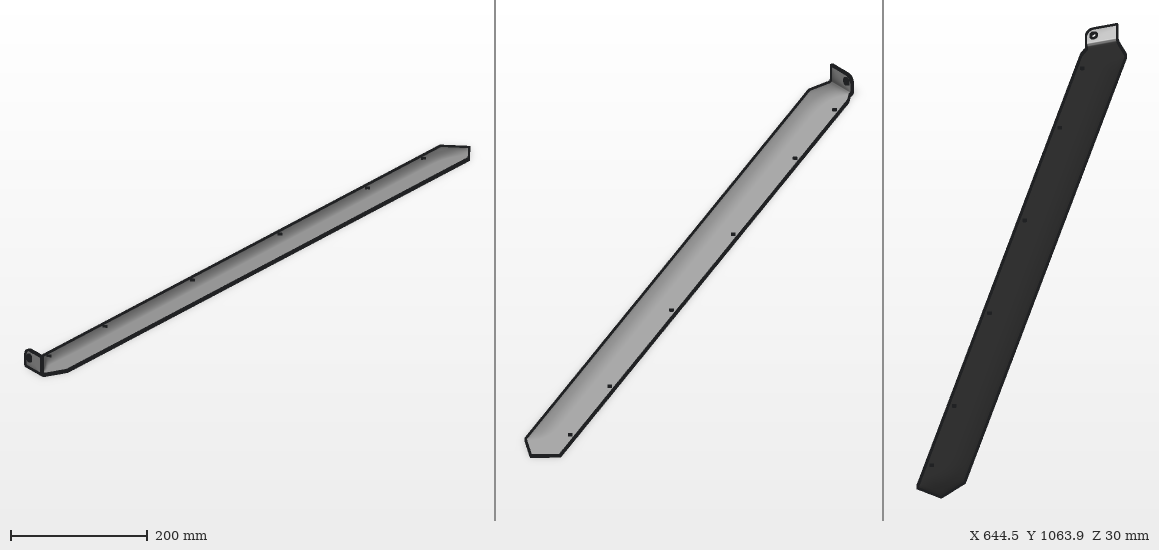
import math
import cadquery as cq

OVERALL_X = 644.51
OVERALL_Y = 1063.85
FLANGE_HEIGHT = 30.0
THICKNESS = 3.0
BEND_INNER_RADIUS = 3.0
BEND_OUTER_RADIUS = BEND_INNER_RADIUS + THICKNESS

STRIP_WIDTH = 65.0
STRIP_ANGLE = 120.0
RIGHT_CORNER_Y = 43.5
NEAR_CLIP_Y = 20.0
END_ANGLE = 150.0
TIP_SIDE_ANGLE = 53.0

FLANGE_WIDTH = 48.0
FLANGE_CORNER_RADIUS = 12.0
FLANGE_HOLE_DIAMETER = 10.0

HOLE_DIAMETER = 4.0
HOLE_EDGE_DISTANCE = 8.5
HOLE_ROW_CENTER = 616.0
HOLE_OFFSETS = (125.0, 375.0, 535.0)

ALONG = (math.cos(math.radians(STRIP_ANGLE)), math.sin(math.radians(STRIP_ANGLE)))
ACROSS = (ALONG[1], -ALONG[0])
RIGHT_EDGE_ACROSS = RIGHT_CORNER_Y * ACROSS[1]
LEFT_EDGE_ACROSS = RIGHT_EDGE_ACROSS - STRIP_WIDTH


def strip_point(along, across):
    """XY point at the given distances along and across the strip."""
    return (along * ALONG[0] + across * ACROSS[0], along * ALONG[1] + across * ACROSS[1])


def left_edge_point_at_y(y):
    """Point of the long left edge with the given Y."""
    return ((LEFT_EDGE_ACROSS - y * ACROSS[1]) / ACROSS[0], y)


def left_edge_point_at_x(x):
    """Point of the long left edge with the given X."""
    return (x, (LEFT_EDGE_ACROSS - x * ACROSS[0]) / ACROSS[1])


def far_end_corners():
    """Corners of the far end: right edge, tip and left edge."""
    left_corner = left_edge_point_at_x(-OVERALL_X)
    rise = OVERALL_Y - left_corner[1]
    tip_x = left_corner[0] + rise / math.tan(math.radians(TIP_SIDE_ANGLE))

    end_angle = math.radians(END_ANGLE)
    tip_across = tip_x * ACROSS[0] + OVERALL_Y * ACROSS[1]
    turn = math.radians(END_ANGLE - STRIP_ANGLE)
    end_length = (RIGHT_EDGE_ACROSS - tip_across) / math.sin(turn)
    right_corner = (
        tip_x - end_length * math.cos(end_angle),
        OVERALL_Y - end_length * math.sin(end_angle),
    )
    return right_corner, (tip_x, OVERALL_Y), left_corner


def make_plate():
    """Flat strip, from the bend line to the pointed far end."""
    right_corner, tip, left_corner = far_end_corners()
    outline = [
        (0, BEND_OUTER_RADIUS),
        (0, RIGHT_CORNER_Y),
        right_corner,
        tip,
        left_corner,
        left_edge_point_at_y(NEAR_CLIP_Y),
        (-FLANGE_WIDTH, BEND_OUTER_RADIUS),
    ]
    return cq.Workplane("XY").polyline(outline).close().extrude(THICKNESS)


def make_flange():
    """Bend and upright flange, as one L-shaped profile along X."""
    bend_middle = BEND_OUTER_RADIUS * (1 - math.sqrt(0.5))
    inner_middle = BEND_OUTER_RADIUS - BEND_INNER_RADIUS * math.sqrt(0.5)
    flange = (
        cq.Workplane("YZ")
        .moveTo(BEND_OUTER_RADIUS, 0)
        .threePointArc((bend_middle, bend_middle), (0, BEND_OUTER_RADIUS))
        .lineTo(0, FLANGE_HEIGHT)
        .lineTo(THICKNESS, FLANGE_HEIGHT)
        .lineTo(THICKNESS, BEND_OUTER_RADIUS)
        .threePointArc((inner_middle, inner_middle), (BEND_OUTER_RADIUS, THICKNESS))
        .close()
        .extrude(-FLANGE_WIDTH)
    )
    flange = flange.edges("|Y").edges("<X").edges(">Z").fillet(FLANGE_CORNER_RADIUS)
    hole_x = FLANGE_CORNER_RADIUS - FLANGE_WIDTH
    hole_z = FLANGE_HEIGHT - FLANGE_CORNER_RADIUS
    hole = (
        cq.Workplane("XZ")
        .center(hole_x, hole_z)
        .circle(FLANGE_HOLE_DIAMETER / 2)
        .extrude(-THICKNESS)
    )
    return flange.cut(hole)


def make_edge_holes():
    """Cutters for the holes along the left edge."""
    across = LEFT_EDGE_ACROSS + HOLE_EDGE_DISTANCE
    centers = [
        strip_point(HOLE_ROW_CENTER + side * offset, across)
        for offset in HOLE_OFFSETS
        for side in (-1, 1)
    ]
    return cq.Workplane("XY").pushPoints(centers).circle(HOLE_DIAMETER / 2).extrude(THICKNESS)


result = make_plate().union(make_flange()).cut(make_edge_holes())